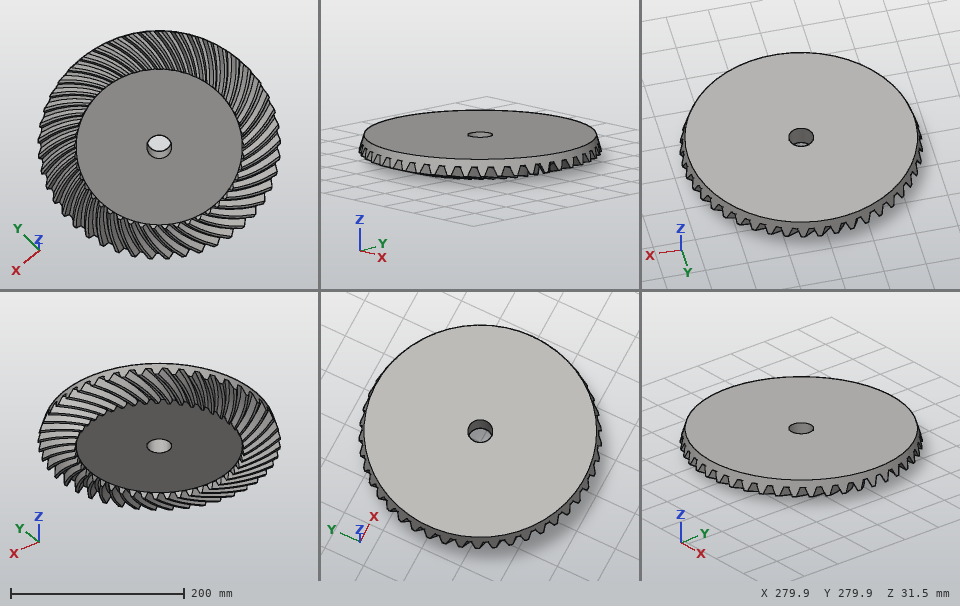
import cadquery as cq
import math

tooth_count = 45
first_tooth_angle = -2.7
spiral_twist = 16.0

height = 31.5
tip_radius = 140.0
tip_z = 12.5
inner_tip_radius = 98.0
bore_diameter = 28.5

gap_depth = 11.0
gap_root_width = 5.5
gap_mouth_width = 15.0
mouth_overcut = 1.0

face_angle = math.atan2(tip_z, tip_radius - inner_tip_radius)
apex_z = tip_z - tip_radius * math.tan(face_angle)
cone_length = tip_radius / math.cos(face_angle)
inner_scale = inner_tip_radius / tip_radius

back_radius = tip_radius - (height - tip_z) * math.tan(face_angle)
inner_root_depth = gap_depth * inner_scale
floor_radius = inner_tip_radius - inner_root_depth * math.sin(face_angle)
floor_z = inner_root_depth * math.cos(face_angle)

section_count = 6
outer_scale_end = 1.04
inner_scale_end = inner_scale - 0.04


def make_blank():
    bore_radius = bore_diameter / 2
    profile = [
        (bore_radius, height),
        (back_radius, height),
        (tip_radius, tip_z),
        (inner_tip_radius, 0),
        (floor_radius, floor_z),
        (bore_radius, floor_z),
    ]
    return cq.Workplane("XZ").polyline(profile).close().revolve(360, (0, 0, 0), (0, 1, 0))


def gap_section(scale, gap_angle):
    """Trapezoid across the gap, scaled about the apex and turned along the spiral."""
    twist = spiral_twist * (1 - scale) / (1 - inner_scale)
    angle = math.radians(gap_angle + twist)
    distance = cone_length * scale
    direction = cq.Vector(
        math.cos(face_angle) * math.cos(angle),
        math.cos(face_angle) * math.sin(angle),
        math.sin(face_angle),
    )
    tangent = cq.Vector(-math.sin(angle), math.cos(angle), 0)
    plane = cq.Plane(cq.Vector(0, 0, apex_z) + direction * distance, tangent, direction)

    flank_slope = (gap_mouth_width - gap_root_width) / 2 / gap_depth
    half_root = gap_root_width / 2 * scale
    half_mouth = (gap_mouth_width / 2 + mouth_overcut * flank_slope) * scale
    root = gap_depth * scale
    mouth = -mouth_overcut * scale
    corners = [(-half_mouth, mouth), (half_mouth, mouth), (half_root, root), (-half_root, root)]
    return cq.Workplane(plane).polyline(corners).close().val()


def make_gap_cutter(gap_angle):
    scale_step = (inner_scale_end - outer_scale_end) / (section_count - 1)
    sections = [gap_section(outer_scale_end + i * scale_step, gap_angle) for i in range(section_count)]
    return cq.Solid.makeLoft(sections)


tooth_pitch = 360 / tooth_count
cutter = make_gap_cutter(first_tooth_angle + tooth_pitch / 2)
cutters = [cutter.rotate((0, 0, 0), (0, 0, 1), i * tooth_pitch) for i in range(tooth_count)]
result = cq.Workplane(make_blank().val().cut(*cutters).Solids()[0])